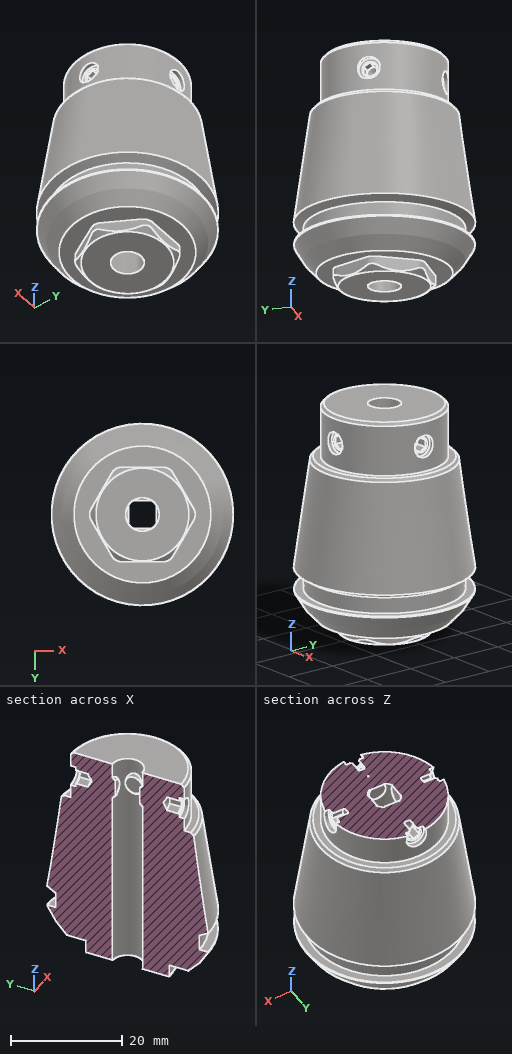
import cadquery as cq
import math

overall_height = 43.0
hex_height = 2.55
rim_break_z = 4.9
rim_lip_z = 7.75
rim_top_z = 8.0
groove_top_z = 11.0
taper_bottom_z = 12.05
shoulder_z = 33.02
edge_chamfer = 0.6

rim_bottom_diameter = 24.6
rim_break_diameter = 29.05
rim_diameter = 32.6
groove_diameter = 29.2
taper_bottom_diameter = 32.72
taper_top_diameter = 26.9
collar_diameter = 23.0
bore_diameter = 6.0

hex_across_flats = 17.0
hex_corner_radius = 2.0
hex_bottom_diameter = 16.7

screw_count = 4
screw_z = overall_height - 5.25
screw_hole_diameter = 4.13
screw_recess = 1.05
screw_tip_radius = 2.472
screw_tip_chamfer = 0.5
screw_tip_diameter = 4.47
socket_across_flats = 2.4
socket_depth = 2.5
socket_mouth_diameter = 2.92
socket_point_angle = 120.0

tip_length = bore_diameter / 2


def hexagon_diameter(across_flats):
    """Diameter through the corners of a hexagon."""
    return across_flats / math.cos(math.radians(30))


def turned_body():
    """Tapered body with rim, groove and collar, revolved about Z."""
    collar_radius = collar_diameter / 2
    taper_top_radius = taper_top_diameter / 2
    profile = [
        (0, hex_height),
        (rim_bottom_diameter / 2, hex_height),
        (rim_break_diameter / 2, rim_break_z),
        (rim_diameter / 2, rim_lip_z),
        (rim_diameter / 2, rim_top_z),
        (groove_diameter / 2, rim_top_z),
        (groove_diameter / 2, groove_top_z),
        (taper_bottom_diameter / 2, taper_bottom_z),
        (taper_top_radius, shoulder_z - edge_chamfer),
        (taper_top_radius - edge_chamfer, shoulder_z),
        (collar_radius, shoulder_z),
        (collar_radius, overall_height - edge_chamfer),
        (collar_radius - edge_chamfer, overall_height),
        (0, overall_height),
    ]
    return cq.Workplane("XZ").polyline(profile).close().revolve(360, (0, 0), (0, 1))


def hexagon_end():
    """Hexagon with rounded corners on the X axis and a conical bottom edge."""
    hexagon = cq.Workplane("XY").polygon(6, hexagon_diameter(hex_across_flats)).extrude(hex_height)
    hexagon = hexagon.edges("|Z").fillet(hex_corner_radius)
    bottom_radius = hex_bottom_diameter / 2
    cone = cq.Solid.makeCone(bottom_radius, bottom_radius + hex_height, hex_height)
    return hexagon.intersect(cq.Workplane(cone))


def screw_pocket():
    """Recess, hexagon socket and conical socket end of the screw on the -Y side."""
    face_radius = collar_diameter / 2 - screw_recess
    face_plane = cq.Workplane("XZ", origin=(0, -face_radius, screw_z))
    recess = face_plane.circle(screw_hole_diameter / 2).extrude(2 * screw_recess)

    corner_diameter = hexagon_diameter(socket_across_flats)
    socket = face_plane.transformed(rotate=(0, 0, 90)).polygon(6, corner_diameter).extrude(-socket_depth)

    inward = cq.Vector(0, 1, 0)
    mouth_radius = socket_mouth_diameter / 2
    flat_radius = socket_across_flats / 2
    mouth = cq.Solid.makeCone(
        mouth_radius, flat_radius, mouth_radius - flat_radius, cq.Vector(0, -face_radius, screw_z), inward
    )
    point_length = flat_radius / math.tan(math.radians(socket_point_angle / 2))
    point_start = cq.Vector(0, socket_depth - face_radius, screw_z)
    point = cq.Solid.makeCone(flat_radius, 0, point_length, point_start, inward)
    return recess.union(socket).union(cq.Workplane(mouth)).union(cq.Workplane(point))


def screw_tip():
    """Chamfered screw tip that stands out into the bore on the -Y side."""
    tip = cq.Workplane("XZ", origin=(0, -screw_tip_radius, screw_z))
    tip = tip.circle(screw_tip_diameter / 2).extrude(tip_length)
    return tip.faces(">Y").chamfer(screw_tip_chamfer)


bore = cq.Workplane("XY").circle(bore_diameter / 2).extrude(overall_height)
result = turned_body().union(hexagon_end()).cut(bore)

for index in range(screw_count):
    angle = index * 360 / screw_count
    result = result.cut(screw_pocket().rotate((0, 0, 0), (0, 0, 1), angle))
    result = result.union(screw_tip().rotate((0, 0, 0), (0, 0, 1), angle))